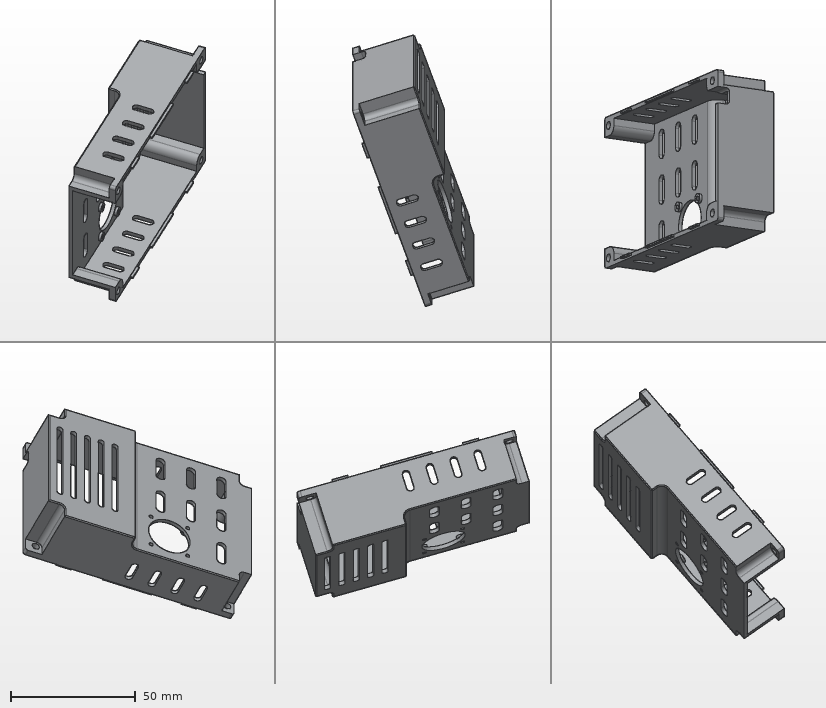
import cadquery as cq

length = 91.0
height = 62.4
depth = 26.1
front_wall = 1.6
side_wall = 1.8
edge_chamfer = 0.5

step_depth = 5.7
step_y = 53.0
step_radius = 3.0

notch_height = 6.2
open_notch_length = 5.4
closed_notch_length = 7.1
notch_radius = 2.3
notch_wall = 2.0
notch_wall_radius = 3.4
flange_thickness = 2.7
flange_x = depth - flange_thickness
flange_corner_radius = 1.2
flange_hole_diameter = 3.1
flange_hole_inset_z = 3.8
open_flange_hole_inset_y = 3.0
closed_flange_hole_inset_y = 4.5

fan_y = 35.85
fan_z = 13.65
fan_diameter = 18.0
screw_pitch = 16.0
screw_diameter = 1.6
boss_diameter = 3.8
boss_height = 1.2

tall_vent_count = 5
tall_vent_width = 2.55
tall_vent_height = 38.8
tall_vent_pitch = 6.0
first_tall_vent_y = 62.1

short_vent_width = 4.0
short_vent_height = 12.0
short_vent_pitch_y = 13.3
short_vent_pitch_z = 18.9
first_short_vent_y = 13.1
first_short_vent_z = 13.3
short_vent_columns = 3
short_vent_rows = 3

side_vent_count = 4
side_vent_width = 3.0
side_vent_length = 9.0
side_vent_pitch = 10.0
first_side_vent_y = 17.0
side_vent_x = 17.8

cable_depth = 5.5
cable_height = 6.8
cable_bottom_z = 48.4
cable_radius = 1.8

lip_spans = [(14.8, 21.5), (34.3, 55.8), (69.5, 76.2)]
lip_height = 1.2
lip_thickness = 0.7
lip_inset = 0.8

end_margin = 0.9


def box(x_span, y_span, z_span):
    (x0, x1), (y0, y1), (z0, z1) = x_span, y_span, z_span
    return cq.Workplane("XY").box(x1 - x0, y1 - y0, z1 - z0, centered=False).translate((x0, y0, z0))


def stepped_prism(x_inset, z_inset, y_start, y_end, x_back):
    """Stepped XY profile set in from the outer face, extruded between the inset Z faces."""
    raised_x = x_inset
    recessed_x = step_depth + x_inset
    shoulder_y = step_y + x_inset
    radius = step_radius + x_inset
    profile = (
        cq.Workplane("XY", origin=(0, 0, z_inset))
        .moveTo(x_back, y_start)
        .lineTo(recessed_x, y_start)
        .lineTo(recessed_x, shoulder_y - radius)
        .radiusArc((recessed_x - radius, shoulder_y), -radius)
        .lineTo(raised_x, shoulder_y)
        .lineTo(raised_x, y_end)
        .lineTo(x_back, y_end)
        .close()
    )
    return profile.extrude(height - 2 * z_inset)


def corner_posts(y_span, inner_side, extra, radius, x_end):
    """Blocks at the lower and upper corners of one end, rounded along their inner edge."""
    lower = box((-end_margin, x_end), y_span, (-end_margin, notch_height + extra))
    lower = lower.edges("|X").edges(">Z").edges(inner_side).fillet(radius)
    upper = lower.mirror("XY").translate((0, 0, height))
    return lower.union(upper)


def open_posts(extra, radius, x_end):
    return corner_posts((-end_margin, open_notch_length + extra), ">Y", extra, radius, x_end)


def closed_posts(extra, radius, x_end):
    start = length - closed_notch_length - extra
    return corner_posts((start, length + end_margin), "<Y", extra, radius, x_end)


def x_slots(points, slot_height, slot_width):
    """Vertical slots through the outer wall at (y, z) points."""
    slot_depth = step_depth + front_wall + 2 * end_margin
    return (
        cq.Workplane("YZ", origin=(-end_margin, 0, 0))
        .pushPoints(points)
        .slot2D(slot_height, slot_width, 90)
        .extrude(slot_depth)
    )


def chamfered_outer_block():
    """Solid block with its closed-end notches cut and its outer-face outline chamfered."""
    block = stepped_prism(0, 0, 0, length, depth)
    block = block.cut(closed_posts(0, notch_radius, flange_x))
    near_outer_face = cq.selectors.BoxSelector(
        (-end_margin, -end_margin, -end_margin),
        (step_depth + end_margin, length + end_margin, height + end_margin),
    )
    z_edges = block.edges("<Z or >Z").edges(near_outer_face)
    return block.faces("<X").edges().add(z_edges).chamfer(edge_chamfer)


def cavity():
    """Interior space, open at the back and at Y = 0, with material left around the notches."""
    back = depth + end_margin
    space = stepped_prism(front_wall, side_wall, -end_margin, length - side_wall, back)
    space = space.cut(open_posts(notch_wall, notch_wall_radius, back))
    return space.cut(closed_posts(notch_wall, notch_wall_radius, back))


def flange_holes():
    points = []
    for z in (flange_hole_inset_z, height - flange_hole_inset_z):
        points.append((open_flange_hole_inset_y, z))
        points.append((length - closed_flange_hole_inset_y, z))
    return (
        cq.Workplane("YZ", origin=(flange_x - end_margin, 0, 0))
        .pushPoints(points)
        .circle(flange_hole_diameter / 2)
        .extrude(flange_thickness + 2 * end_margin)
    )


def fan_bosses():
    return (
        cq.Workplane("YZ", origin=(step_depth + front_wall / 2, fan_y, fan_z))
        .rect(screw_pitch, screw_pitch, forConstruction=True)
        .vertices()
        .circle(boss_diameter / 2)
        .extrude(front_wall / 2 + boss_height)
    )


def fan_holes():
    plane = cq.Workplane("YZ", origin=(0, fan_y, fan_z))
    reach = step_depth + front_wall + boss_height + end_margin
    screws = (
        plane.rect(screw_pitch, screw_pitch, forConstruction=True)
        .vertices()
        .circle(screw_diameter / 2)
        .extrude(reach)
    )
    return plane.circle(fan_diameter / 2).extrude(reach).union(screws)


def tall_vents():
    points = [(first_tall_vent_y + i * tall_vent_pitch, height / 2) for i in range(tall_vent_count)]
    return x_slots(points, tall_vent_height, tall_vent_width)


def short_vents():
    """Grid of short slots; only the column nearest Y = 0 runs down beside the fan."""
    points = []
    for column in range(short_vent_columns):
        for row in range(short_vent_rows):
            if row > 0 or column == 0:
                y = first_short_vent_y + column * short_vent_pitch_y
                z = first_short_vent_z + row * short_vent_pitch_z
                points.append((y, z))
    return x_slots(points, short_vent_height, short_vent_width)


def side_vents():
    points = [(side_vent_x, first_side_vent_y + i * side_vent_pitch) for i in range(side_vent_count)]
    return (
        cq.Workplane("XY", origin=(0, 0, -end_margin))
        .pushPoints(points)
        .slot2D(side_vent_length, side_vent_width)
        .extrude(height + 2 * end_margin)
    )


def cable_cutout():
    """Rounded cutout through the end wall and the upper notch wall, open at the back."""
    y_start = length - closed_notch_length - notch_wall - end_margin
    cutout = box(
        (depth - cable_depth, depth + end_margin),
        (y_start, length + end_margin),
        (cable_bottom_z, cable_bottom_z + cable_height),
    )
    return cutout.edges("|Y and <X").fillet(cable_radius)


def locating_lips():
    x_span = (depth - side_wall, depth + lip_height)
    lips = cq.Workplane("XY")
    for span in lip_spans:
        for z in (lip_inset, height - lip_inset - lip_thickness):
            lips = lips.union(box(x_span, span, (z, z + lip_thickness)))
    return lips


result = (
    chamfered_outer_block()
    .cut(open_posts(0, notch_radius, flange_x))
    .edges("|X")
    .edges("<Y or >Y")
    .edges("<Z or >Z")
    .fillet(flange_corner_radius)
    .cut(cavity())
    .union(fan_bosses())
    .union(locating_lips())
    .cut(flange_holes())
    .cut(fan_holes())
    .cut(tall_vents())
    .cut(short_vents())
    .cut(side_vents())
    .cut(cable_cutout())
)